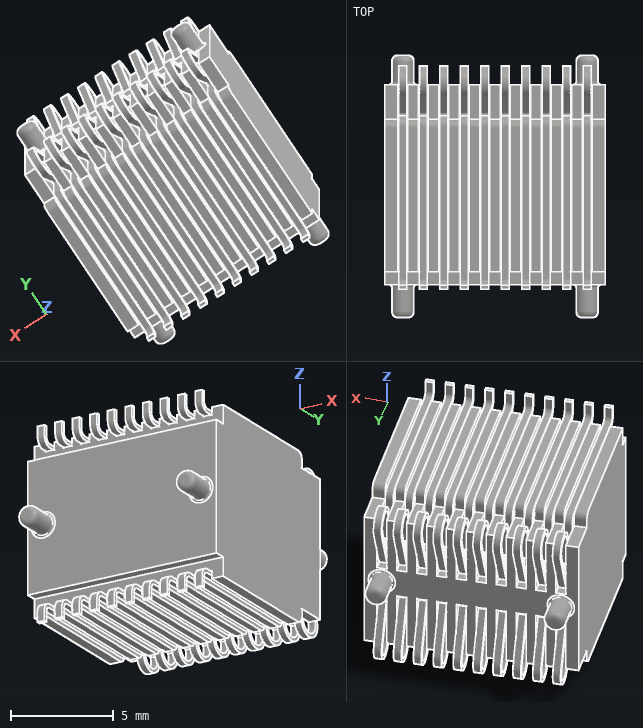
import cadquery as cq
import math

housing_width = 10.76
housing_height = 9.0
housing_front = -4.8
housing_rear = 4.97
front_step_length = 0.63
front_step_depth = 1.0
rear_step_length = 1.7
rear_step_depth = 0.8
shoulder_radius = 0.38

pin_diameter = 1.08
pin_end_y = 6.4
pin_end_radius = 0.28
pin_base_radius = 0.14
pin_spacing = 8.99

contacts_per_row = 10
contact_pitch = pin_spacing / (contacts_per_row - 1)
contact_width = 0.4
contact_thickness = 0.2
groove_width = 0.5
groove_depth = 0.4

lead_span = 10.28
lead_outer_y = -5.02
lead_bend_radius = 0.4
shoulder_bend_radius = 0.42
valley_radius = 0.19
loop_radius = 0.68
loop_center_y = 5.1
loop_center_z = 3.62
spring_lean = 20.0
tail_lean = 24.5
tail_length = 2.56

pocket_floor_z = 0.77
pocket_wall_y = 3.25

housing_top = housing_height / 2
lead_tip_z = lead_span / 2
groove_floor_z = housing_top - groove_depth
half_thickness = contact_thickness / 2
strip_z = groove_floor_z + half_thickness
groove_corner_radius = shoulder_bend_radius - half_thickness
contact_places = [(i - (contacts_per_row - 1) / 2) * contact_pitch for i in range(contacts_per_row)]
pin_places = [-pin_spacing / 2, pin_spacing / 2]


def extrude_across(profile, width):
    """Extrude a YZ outline by the width, centred on X = 0."""
    return profile.close().extrude(width / 2, both=True)


def make_block():
    """Plain block with stepped front and rear edges and rounded rear shoulders."""
    front_step_y = housing_front + front_step_length
    front_step_z = housing_top - front_step_depth
    rear_step_y = housing_rear - rear_step_length
    rear_step_z = housing_top - rear_step_depth
    upper_half = extrude_across(
        cq.Workplane("YZ")
        .moveTo(housing_front, 0)
        .lineTo(housing_front, front_step_z)
        .lineTo(front_step_y, front_step_z)
        .lineTo(front_step_y, housing_top)
        .lineTo(rear_step_y - shoulder_radius, housing_top)
        .tangentArcPoint((shoulder_radius, -shoulder_radius))
        .lineTo(rear_step_y, rear_step_z)
        .lineTo(housing_rear, rear_step_z)
        .lineTo(housing_rear, 0),
        housing_width,
    )
    return upper_half.union(upper_half.mirror("XY"))


def make_groove():
    """Cutter for one top groove that turns down into its rear pocket."""
    return extrude_across(
        cq.Workplane("YZ")
        .moveTo(housing_front, housing_top)
        .lineTo(housing_front, groove_floor_z)
        .lineTo(pocket_wall_y - groove_corner_radius, groove_floor_z)
        .tangentArcPoint((groove_corner_radius, -groove_corner_radius))
        .lineTo(pocket_wall_y, pocket_floor_z)
        .lineTo(housing_rear, pocket_floor_z)
        .lineTo(housing_rear, housing_top),
        groove_width,
    )


def polar(center, radius, degrees):
    """Point on a circle in YZ, with the angle measured from +Y towards +Z."""
    angle = math.radians(degrees)
    return (center[0] + radius * math.cos(angle), center[1] + radius * math.sin(angle))


def make_contact():
    """One top contact: lead, flat run, bend over the shoulder, valley, spring loop and tail."""
    lead_y = lead_outer_y + half_thickness
    drop_y = pocket_wall_y + half_thickness
    lean = math.radians(spring_lean)
    valley_y = drop_y + valley_radius
    rise = ((loop_center_y - valley_y) * math.cos(lean) - loop_radius - valley_radius) / math.sin(lean)
    valley = (valley_y, loop_center_z - rise)
    loop = (loop_center_y, loop_center_z)
    tail_start = polar(loop, loop_radius, -tail_lean)
    tail_end = polar(tail_start, tail_length, -tail_lean - 90)
    path = (
        cq.Workplane("YZ")
        .moveTo(lead_y, lead_tip_z)
        .lineTo(lead_y, strip_z + lead_bend_radius)
        .tangentArcPoint((lead_bend_radius, -lead_bend_radius))
        .lineTo(drop_y - shoulder_bend_radius, strip_z)
        .tangentArcPoint((shoulder_bend_radius, -shoulder_bend_radius))
        .lineTo(drop_y, valley[1])
        .tangentArcPoint(polar(valley, valley_radius, -spring_lean), relative=False)
        .lineTo(*polar(loop, loop_radius, 180 - spring_lean))
        .threePointArc(polar(loop, loop_radius, 90), tail_start)
        .lineTo(*tail_end)
    )
    section = cq.Workplane("XY", origin=(0, lead_y, lead_tip_z)).rect(contact_width, contact_thickness)
    return section.sweep(path)


def make_pin():
    """One pin along Y at X = 0, with rounded ends and a flared foot on each housing face."""
    radius = pin_diameter / 2
    foot_radius = radius + pin_base_radius
    end_flat_radius = radius - pin_end_radius
    return (
        cq.Workplane("XY")
        .moveTo(0, -pin_end_y)
        .lineTo(end_flat_radius, -pin_end_y)
        .tangentArcPoint((pin_end_radius, pin_end_radius))
        .lineTo(radius, housing_front - pin_base_radius)
        .tangentArcPoint((pin_base_radius, pin_base_radius))
        .lineTo(radius, housing_front)
        .lineTo(radius, housing_rear)
        .lineTo(foot_radius, housing_rear)
        .threePointArc(
            polar((foot_radius, housing_rear + pin_base_radius), pin_base_radius, 225),
            (radius, housing_rear + pin_base_radius),
        )
        .lineTo(radius, pin_end_y - pin_end_radius)
        .tangentArcPoint((-pin_end_radius, pin_end_radius))
        .lineTo(0, pin_end_y)
        .close()
        .revolve(360, (0, 0), (0, 1))
    )


def make_housing():
    """Block with both rows of grooves, their fixed contacts and the two pin bores."""
    housing = make_block()
    groove = make_groove()
    contact = make_contact()
    for x in contact_places:
        for row_groove in (groove, groove.mirror("XY")):
            housing = housing.cut(row_groove.translate((x, 0, 0)))
    for x in contact_places:
        for row_contact in (contact, contact.mirror("XY")):
            housing = housing.union(row_contact.translate((x, 0, 0)))
    bore_length = housing_rear - housing_front
    for x in pin_places:
        bore = (
            cq.Workplane("XZ", origin=(x, housing_rear, 0))
            .circle(pin_diameter / 2)
            .extrude(bore_length)
        )
        housing = housing.cut(bore)
    return housing


housing = make_housing()
pins = [make_pin().translate((x, 0, 0)) for x in pin_places]

result = cq.Compound.makeCompound([housing.val(), *[pin.val() for pin in pins]])